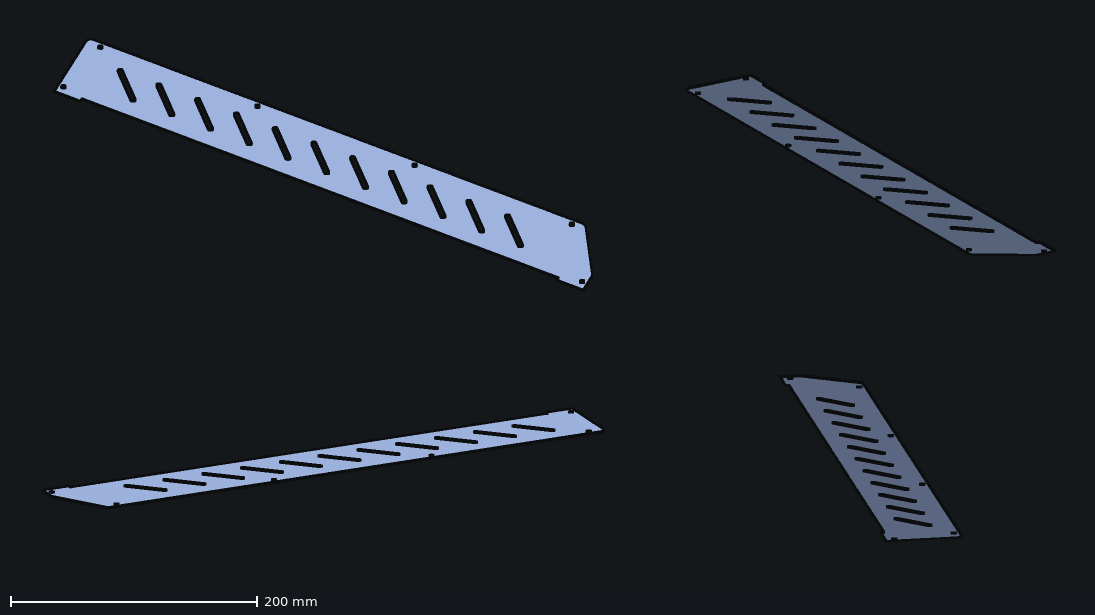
import cadquery as cq

length = 478.5
width = 63.0
thickness = 1.0
corner_radius = 5.0

slope_run = 28.5
slope_foot_height = 17.0

foot_length = 24.0
relief_depth = 3.0

hole_diameter = 3.5
rear_hole_count = 4
rear_hole_start = 13.5
rear_hole_pitch = 142.0
rear_hole_inset = 5.0
front_hole_inset = 5.0
front_hole_height = 7.5

slot_count = 11
slot_row_span = 350.5
slot_pitch = slot_row_span / (slot_count - 1)
slot_start = 50.2
slot_width = 4.0
slot_length = 36.0
slot_angle = -45


def make_plate():
    """Flat plate with a sloped end, a relieved front edge and rounded rear corners."""
    outline = [
        (0, 0),
        (foot_length, 0),
        (foot_length, relief_depth),
        (length - foot_length, relief_depth),
        (length - foot_length, 0),
        (length, 0),
        (length, slope_foot_height),
        (length - slope_run, width),
        (0, width),
    ]
    plate = cq.Workplane("XY").polyline(outline).close().extrude(thickness)
    return plate.edges("|Z").edges(">Y").fillet(corner_radius)


def make_holes():
    """Cutters for the rear row of holes and the hole in each front foot."""
    rear_y = width - rear_hole_inset
    points = [(rear_hole_start + i * rear_hole_pitch, rear_y) for i in range(rear_hole_count)]
    points.append((front_hole_inset, front_hole_height))
    points.append((length - front_hole_inset, front_hole_height))
    return cq.Workplane("XY").pushPoints(points).circle(hole_diameter / 2).extrude(thickness)


def make_slots():
    """Cutters for the round-ended slots, centred across the plate width."""
    centres = [(slot_start + i * slot_pitch, width / 2) for i in range(slot_count)]
    return (
        cq.Workplane("XY")
        .pushPoints(centres)
        .slot2D(slot_length, slot_width, slot_angle)
        .extrude(thickness)
    )


result = make_plate().cut(make_holes()).cut(make_slots())